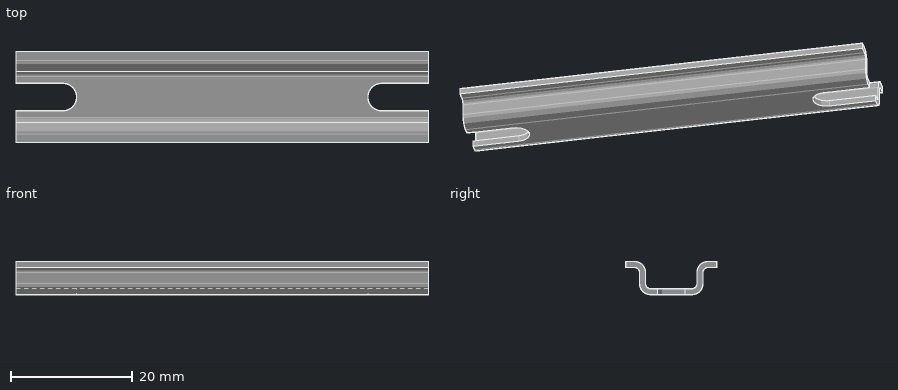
import cadquery as cq

length = 68.0
width = 15.0
height = 5.5

thickness = 1.0
channel_width = 10.5
inner_bend = 0.8
outer_bend = inner_bend + thickness

slot_width = 4.5
slot_depth = 10.0


def make_rail():
    """Extrude the hat-shaped sheet section along X, with every bend rounded."""
    wall_outer = channel_width / 2
    wall_inner = wall_outer - thickness
    lip_bottom = height - thickness
    block = cq.Workplane("YZ").rect(channel_width, height).extrude(length)
    block = block.translate((-length / 2, 0, height / 2))
    block = block.edges("|X and <Z").fillet(outer_bend)

    for side in (-1, 1):
        flange = (
            cq.Workplane("YZ", origin=(-length / 2, 0, 0))
            .moveTo(side * wall_inner, height)
            .lineTo(side * width / 2, height)
            .lineTo(side * width / 2, lip_bottom)
            .lineTo(side * (wall_outer + inner_bend), lip_bottom)
            .radiusArc((side * wall_outer, lip_bottom - inner_bend), -side * inner_bend)
            .lineTo(side * wall_inner, lip_bottom - inner_bend)
            .close()
            .extrude(length)
        )
        block = block.union(flange)

    cavity_width = 2 * wall_inner
    cavity = cq.Workplane("XY", origin=(0, 0, thickness)).rect(length, cavity_width).extrude(height)
    cavity = cavity.edges("|X and <Z").fillet(inner_bend)
    rail = block.cut(cavity)

    mouth = cq.selectors.BoxSelector(
        (-length, -wall_inner - inner_bend / 2, lip_bottom),
        (length, wall_inner + inner_bend / 2, height + thickness),
    )
    return rail.edges("|X").edges(mouth).fillet(outer_bend)


def make_slot(end):
    """Round-nosed slot through the floor, open at the given end (-1 or 1)."""
    nose_center = end * (length / 2 - slot_depth + slot_width / 2)
    run_length = slot_depth - slot_width / 2
    run_center = end * (length - run_length) / 2
    run = cq.Workplane("XY").center(run_center, 0).rect(run_length, slot_width).extrude(height)
    nose = cq.Workplane("XY").center(nose_center, 0).circle(slot_width / 2).extrude(height)
    return run.union(nose)


result = make_rail()
for end in (-1, 1):
    result = result.cut(make_slot(end))